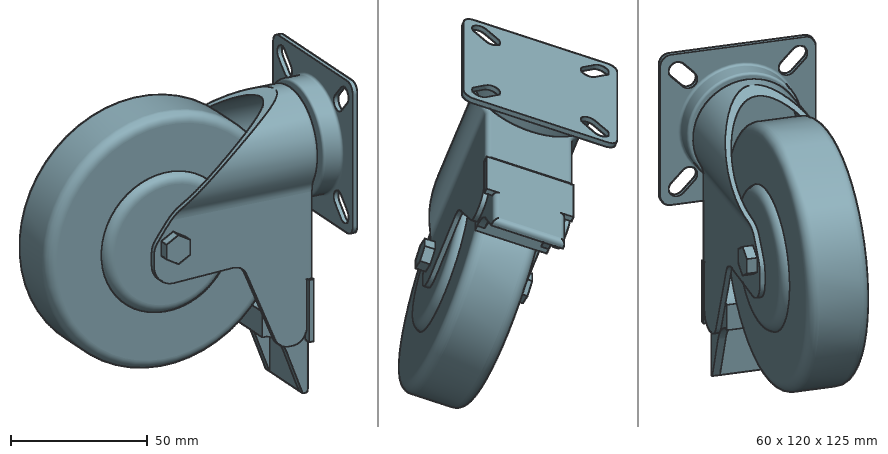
import cadquery as cq
import math


PLATE_SIDE = 60.0
PLATE_THICKNESS = 2.0
PLATE_CORNER_RADIUS = 4.0
SLOT_WIDTH = 6.5
SLOT_OUTER_OFFSET = 23.5
SLOT_INNER_OFFSET = 19.0
BOSS_RADIUS = 22.2
BOSS_LENGTH = 8.0
BOSS_FILLET = 1.0

AXLE_Y = -70.0
AXLE_Z = -25.0
WHEEL_RADIUS = 50.0
WHEEL_WIDTH = 24.0
HUB_RADIUS = 27.5
HUB_WIDTH = 30.0
ROUNDING = 4.0
CAP_THICKNESS = ROUNDING

SHEET = 2.0
SWIVEL_GAP = 1.0
TUBE_RADIUS = 21.0
CHEEK_OUTER_X = HUB_WIDTH / 2 + SHEET
BLEND_RADIUS = 8.0
FORK_BACK_Y = -(PLATE_THICKNESS + BOSS_LENGTH + SWIVEL_GAP)
AXLE_TO_FORK_FRONT = 8.0
FORK_FRONT_Y = AXLE_Y - AXLE_TO_FORK_FRONT
FORK_BOTTOM_Z = -74.0
THROAT_RADIUS = 110.0
THROAT_TOP_Y = -18.0
THROAT_END_Z = -24.6
FORK_NOSE_RADIUS = 8.0
FORK_CHIN_RADIUS = 8.0
CHIN_Z = -40.0
CROTCH_Y = -40.9
CROTCH_Z = -38.2
CROTCH_RADIUS = 6.0
LEG_FRONT_Y = -25.6
LEG_FRONT_RADIUS = 6.0
LEG_BACK_RADIUS = 6.0

HEX_ACROSS_FLATS = 10.0
HEX_LENGTH = 4.0

NOTCH_DEPTH = 3.0
NOTCH_TOP_Z = -49.0
PEDAL_TOP_Z = -49.5
PEDAL_BOTTOM_Z = -95.0
PEDAL_WIDTH = 28.0
PEDAL_WALL = 3.0
WING_WIDTH = 2 * CHEEK_OUTER_X
SHOE_FRONT_Y = -31.0
SHOE_TOP_Z = -59.5
SHOE_BOTTOM_Z = -69.6
SHOE_ARC_RADIUS = 20.5
TOE_BEND_Y = -20.8
TOE_BEND_Z = -77.4
TOE_TOP_Y = -29.0


def block(width, y_back, y_front, z_low, z_high):
    """Box centred on X = 0 between two Y and two Z values."""
    size = (width, y_back - y_front, z_high - z_low)
    centre = (0, (y_back + y_front) / 2, (z_high + z_low) / 2)
    return cq.Workplane("XY").box(*size).translate(centre)


def arc_middle(start, end, radius):
    """Middle of the arc from start to end that bulges to the left of that direction."""
    dx = end[0] - start[0]
    dy = end[1] - start[1]
    chord = math.hypot(dx, dy)
    rise = radius - math.sqrt(radius**2 - (chord / 2) ** 2)
    return (
        (start[0] + end[0]) / 2 - dy / chord * rise,
        (start[1] + end[1]) / 2 + dx / chord * rise,
    )


def make_plate():
    plate = block(PLATE_SIDE, 0, -PLATE_THICKNESS, -PLATE_SIDE / 2, PLATE_SIDE / 2)
    plate = plate.edges("|Y").fillet(PLATE_CORNER_RADIUS)

    boss = cq.Workplane("XZ").circle(BOSS_RADIUS).extrude(PLATE_THICKNESS + BOSS_LENGTH)
    plate = plate.union(boss)
    boss_circles = cq.selectors.RadiusNthSelector(-1)
    plate = plate.edges("%CIRCLE").edges(boss_circles).fillet(BOSS_FILLET)

    slot_reach = (SLOT_OUTER_OFFSET - SLOT_INNER_OFFSET) * math.sqrt(2)
    slot_middle = (SLOT_OUTER_OFFSET + SLOT_INNER_OFFSET) / math.sqrt(2)
    for quarter in range(4):
        slot = (
            cq.Workplane("XZ")
            .center(slot_middle, 0)
            .slot2D(slot_reach + SLOT_WIDTH, SLOT_WIDTH)
            .extrude(PLATE_THICKNESS)
            .rotate((0, 0, 0), (0, 1, 0), 45 + 90 * quarter)
        )
        plate = plate.cut(slot)
    return plate


def axle_disc(radius, x_start, x_end):
    """Disc around the wheel axle between two X values."""
    return (
        cq.Workplane("YZ", origin=(x_start, 0, 0))
        .center(AXLE_Y, AXLE_Z)
        .circle(radius)
        .extrude(x_end - x_start)
    )


def make_hub_cap(side):
    base_x = HUB_WIDTH / 2 - CAP_THICKNESS
    profile = (
        cq.Workplane("XY", origin=(0, AXLE_Y, AXLE_Z))
        .moveTo(base_x, 0)
        .lineTo(base_x, HUB_RADIUS)
        .radiusArc((HUB_WIDTH / 2, HUB_RADIUS - ROUNDING), ROUNDING)
        .lineTo(HUB_WIDTH / 2, 0)
        .close()
    )
    cap = profile.revolve(360, (0, 0, 0), (1, 0, 0))
    return cap if side > 0 else cap.mirror("YZ")


def make_wheel():
    wheel = axle_disc(WHEEL_RADIUS, -WHEEL_WIDTH / 2, WHEEL_WIDTH / 2).edges().fillet(ROUNDING)
    for side in (-1, 1):
        wheel = wheel.cut(make_hub_cap(side))
    return wheel


def fork_section(tube_radius, cheek_x, blend_radius, y_back):
    """Keyhole outline, a tube that blends into two cheeks, extruded from y_back to the fork front."""
    centre_distance = tube_radius + blend_radius
    blend_x = cheek_x + blend_radius
    blend_z = -math.sqrt(centre_distance**2 - blend_x**2)
    to_tube = tube_radius / centre_distance
    tangent = (blend_x * to_tube, blend_z * to_tube)
    return (
        cq.Workplane("XZ", origin=(0, y_back, 0))
        .moveTo(cheek_x, FORK_BOTTOM_Z)
        .lineTo(cheek_x, blend_z)
        .radiusArc(tangent, blend_radius)
        .threePointArc((0, tube_radius), (-tangent[0], tangent[1]))
        .radiusArc((-cheek_x, blend_z), blend_radius)
        .lineTo(-cheek_x, FORK_BOTTOM_Z)
        .close()
        .extrude(y_back - FORK_FRONT_Y)
    )


def fork_side_shape():
    """Side outline of the fork, in Y and Z, wide enough to cover both cheeks."""
    notch_y = FORK_BACK_Y - NOTCH_DEPTH
    throat_top = (THROAT_TOP_Y, TUBE_RADIUS)
    throat_end = (FORK_FRONT_Y, THROAT_END_Z)
    corners = (
        (FORK_FRONT_Y, THROAT_END_Z, FORK_NOSE_RADIUS),
        (FORK_FRONT_Y, CHIN_Z, FORK_CHIN_RADIUS),
        (CROTCH_Y, CROTCH_Z, CROTCH_RADIUS),
        (LEG_FRONT_Y, FORK_BOTTOM_Z, LEG_FRONT_RADIUS),
        (notch_y, FORK_BOTTOM_Z, LEG_BACK_RADIUS),
    )
    shape = (
        cq.Workplane("YZ")
        .moveTo(FORK_BACK_Y, TUBE_RADIUS)
        .lineTo(*throat_top)
        .threePointArc(arc_middle(throat_end, throat_top, THROAT_RADIUS), throat_end)
        .lineTo(FORK_FRONT_Y, CHIN_Z)
        .lineTo(CROTCH_Y, CROTCH_Z)
        .lineTo(LEG_FRONT_Y, FORK_BOTTOM_Z)
        .lineTo(notch_y, FORK_BOTTOM_Z)
        .lineTo(notch_y, NOTCH_TOP_Z)
        .lineTo(FORK_BACK_Y, NOTCH_TOP_Z)
        .close()
        .extrude(TUBE_RADIUS, both=True)
    )
    for y, z, radius in corners:
        edge = cq.selectors.NearestToPointSelector((0, y, z))
        shape = shape.edges("|X").edges(edge).fillet(radius)
    return shape


def make_fork():
    outside = fork_section(TUBE_RADIUS, CHEEK_OUTER_X, BLEND_RADIUS, FORK_BACK_Y)
    outside = outside.faces(">Y").edges("not <Z").fillet(SHEET)
    inside = fork_section(
        TUBE_RADIUS - SHEET, CHEEK_OUTER_X - SHEET, BLEND_RADIUS + SHEET, FORK_BACK_Y - SHEET
    )
    return outside.cut(inside).intersect(fork_side_shape())


def make_axle_head(side):
    head = (
        cq.Workplane("YZ", origin=(CHEEK_OUTER_X, 0, 0))
        .center(AXLE_Y, AXLE_Z)
        .polygon(6, HEX_ACROSS_FLATS / math.cos(math.pi / 6))
        .extrude(HEX_LENGTH)
        .rotate((0, AXLE_Y, AXLE_Z), (1, AXLE_Y, AXLE_Z), 30)
    )
    return head if side > 0 else head.mirror("YZ")


def make_pedal():
    panel_front_y = FORK_BACK_Y - PEDAL_WALL
    wing_front_y = FORK_BACK_Y - SHEET
    top_end = (wing_front_y, PEDAL_TOP_Z)
    shoe_top = (SHOE_FRONT_Y, SHOE_TOP_Z)
    pedal = (
        cq.Workplane("YZ")
        .moveTo(FORK_BACK_Y, PEDAL_TOP_Z)
        .lineTo(FORK_BACK_Y, PEDAL_BOTTOM_Z)
        .lineTo(panel_front_y, PEDAL_BOTTOM_Z)
        .lineTo(TOE_BEND_Y, TOE_BEND_Z)
        .tangentArcPoint((TOE_TOP_Y, SHOE_BOTTOM_Z), relative=False)
        .lineTo(SHOE_FRONT_Y, SHOE_BOTTOM_Z)
        .lineTo(*shoe_top)
        .threePointArc(arc_middle(top_end, shoe_top, SHOE_ARC_RADIUS), top_end)
        .close()
        .extrude(PEDAL_WIDTH / 2, both=True)
    )
    pedal = pedal.faces(">Y").edges("not >Z").fillet(SHEET)

    pocket_width = PEDAL_WIDTH - 2 * PEDAL_WALL
    pocket = block(pocket_width, panel_front_y, SHOE_FRONT_Y, PEDAL_BOTTOM_Z, SHOE_BOTTOM_Z)
    wings = block(WING_WIDTH, FORK_BACK_Y, wing_front_y, FORK_BOTTOM_Z, PEDAL_TOP_Z)
    return pedal.cut(pocket).union(wings)


plate = make_plate()
wheel = make_wheel()
hub_caps = [make_hub_cap(side) for side in (-1, 1)]
fork = make_fork()
axle_heads = [make_axle_head(side) for side in (-1, 1)]
pedal = make_pedal()

result = cq.Compound.makeCompound(
    [
        plate.val(),
        wheel.val(),
        *[cap.val() for cap in hub_caps],
        fork.val(),
        *[head.val() for head in axle_heads],
        pedal.val(),
    ]
)